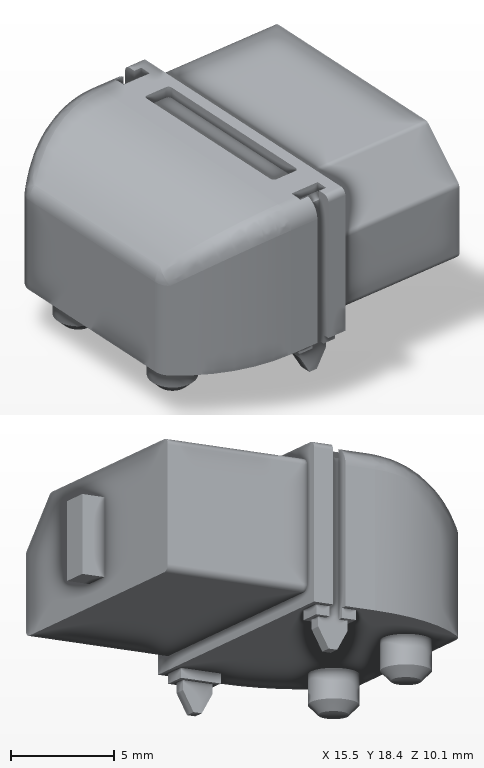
import cadquery as cq
import math


shell_width = 15.5
shell_height = 8.07
shell_front_y = -9.47
shell_arc_start_y = -3.38
shell_arc_radius = 8.6
shell_fillet = 1.0
flange_fillet = 0.33

plug_margin = 0.7
plug_length = 7.7
plug_fillet = 0.33
plug_key_chamfer = 2.45

tab_width = 1.5
tab_height = 4.0
tab_length = 1.22
tab_bottom_z = 1.87

groove_rear_y = -1.06
groove_front_y = -1.75
groove_depth = plug_margin

clip_thickness = 0.65
clip_width = 1.63
clip_center_y = -1.44
clip_recess = 0.5
clip_taper_z = -1.0
clip_tip_width = 0.46

pad_width = 1.29
pad_length = 2.2
pad_height = 0.5

panel_length = 9.86
panel_width = 1.57
panel_center_y = -1.41
panel_depth = 0.6
panel_corner_radius = 0.2

peg_diameter = 2.5
peg_spacing = 7.2
peg_y = -7.4
peg_chamfer = 0.5

foot_length = 2.03

half_width = shell_width / 2
groove_middle_y = (groove_rear_y + groove_front_y) / 2
groove_floor_x = half_width - groove_depth
clip_center_x = groove_floor_x - clip_thickness / 2
SIDES = (-1, 1)


def arc_drop(run):
    """Distance the nose arc has fallen away from its tangent line after a run along Y."""
    return shell_arc_radius - math.sqrt(shell_arc_radius ** 2 - run ** 2)


def box(width, y_rear, y_front, z_bottom, z_top, x_center=0.0):
    """Axis-aligned block, centred in X on x_center."""
    return cq.Workplane("XY").box(
        width, y_rear - y_front, z_top - z_bottom, centered=(True, False, False)
    ).translate((x_center, y_front, z_bottom))


def make_shell():
    """Nose with the same tangent arc on its top and both sides, all its edges rounded."""
    nose_run = shell_arc_start_y - shell_front_y
    end_drop = arc_drop(nose_run)
    middle_drop = arc_drop(nose_run / 2)
    middle_y = shell_arc_start_y - nose_run / 2
    plan = (
        cq.Workplane("XY")
        .moveTo(-half_width, groove_middle_y)
        .lineTo(half_width, groove_middle_y)
        .lineTo(half_width, shell_arc_start_y)
        .threePointArc((half_width - middle_drop, middle_y), (half_width - end_drop, shell_front_y))
        .lineTo(end_drop - half_width, shell_front_y)
        .threePointArc((middle_drop - half_width, middle_y), (-half_width, shell_arc_start_y))
        .close()
        .extrude(shell_height)
    )
    profile = (
        cq.Workplane("YZ")
        .moveTo(groove_middle_y, 0)
        .lineTo(groove_middle_y, shell_height)
        .lineTo(shell_arc_start_y, shell_height)
        .threePointArc((middle_y, shell_height - middle_drop), (shell_front_y, shell_height - end_drop))
        .lineTo(shell_front_y, 0)
        .close()
        .extrude(half_width, both=True)
    )
    shell = plan.intersect(profile)
    front_edges = shell.faces("<Y").edges("not <Z")
    corner_edges = shell.edges("(not %LINE) and (not %CIRCLE)")
    return front_edges.add(corner_edges).fillet(shell_fillet)


def make_flange():
    """Plate behind the shell with its upper side edges rounded."""
    flange = box(shell_width, 0, groove_middle_y, 0, shell_height)
    return flange.edges("|Y and >Z").fillet(flange_fillet)


def make_plug():
    """Rounded rectangular plug with one keyed upper corner, and a tab on its rear face."""
    plug_width = shell_width - 2 * plug_margin
    plug = box(plug_width, plug_length, 0, plug_margin, shell_height - plug_margin)
    plug = plug.edges("|Y and >X and >Z").chamfer(plug_key_chamfer)
    plug = plug.edges("|Y").fillet(plug_fillet)
    tab = box(tab_width, plug_length + tab_length, plug_length, tab_bottom_z, tab_bottom_z + tab_height)
    return plug.union(tab)


def make_pad(side):
    """Standoff pad under one side of the shell, around its clip."""
    return box(
        pad_width,
        clip_center_y + pad_length / 2,
        clip_center_y - pad_length / 2,
        -pad_height,
        0,
        side * clip_center_x,
    )


def make_groove(side):
    """Cutter for the full-height groove in one side, including its pad."""
    return box(
        2 * groove_depth, groove_rear_y, groove_front_y, -pad_height, shell_height, side * half_width
    )


def make_clip_pocket(side):
    """Cutter that leaves the top of a clip below the top face."""
    return box(
        clip_thickness,
        clip_center_y + clip_width / 2,
        clip_center_y - clip_width / 2,
        shell_height - clip_recess,
        shell_height,
        side * clip_center_x,
    )


def make_clip_foot(side):
    """Pointed foot of a clip, flush with the groove floor."""
    return (
        cq.Workplane("YZ")
        .moveTo(clip_center_y - clip_width / 2, 0)
        .lineTo(clip_center_y - clip_width / 2, clip_taper_z)
        .lineTo(clip_center_y - clip_tip_width / 2, -foot_length)
        .lineTo(clip_center_y + clip_tip_width / 2, -foot_length)
        .lineTo(clip_center_y + clip_width / 2, clip_taper_z)
        .lineTo(clip_center_y + clip_width / 2, 0)
        .close()
        .extrude(clip_thickness / 2, both=True)
        .translate((side * clip_center_x, 0, 0))
    )


def make_peg(side):
    """Locating peg with a chamfered tip."""
    peg = cq.Workplane("XY").circle(peg_diameter / 2).extrude(-foot_length)
    peg = peg.faces("<Z").chamfer(peg_chamfer)
    return peg.translate((side * peg_spacing / 2, peg_y, 0))


def make_panel():
    """Cutter for the shallow round-cornered recess in the top face."""
    panel = box(
        panel_length,
        panel_center_y + panel_width / 2,
        panel_center_y - panel_width / 2,
        shell_height - panel_depth,
        shell_height,
    )
    return panel.edges("|Z").fillet(panel_corner_radius)


result = make_shell().union(make_flange()).union(make_plug()).cut(make_panel())
for side in SIDES:
    result = result.union(make_pad(side))
    result = result.cut(make_groove(side))
    result = result.cut(make_clip_pocket(side))
    result = result.union(make_clip_foot(side))
    result = result.union(make_peg(side))